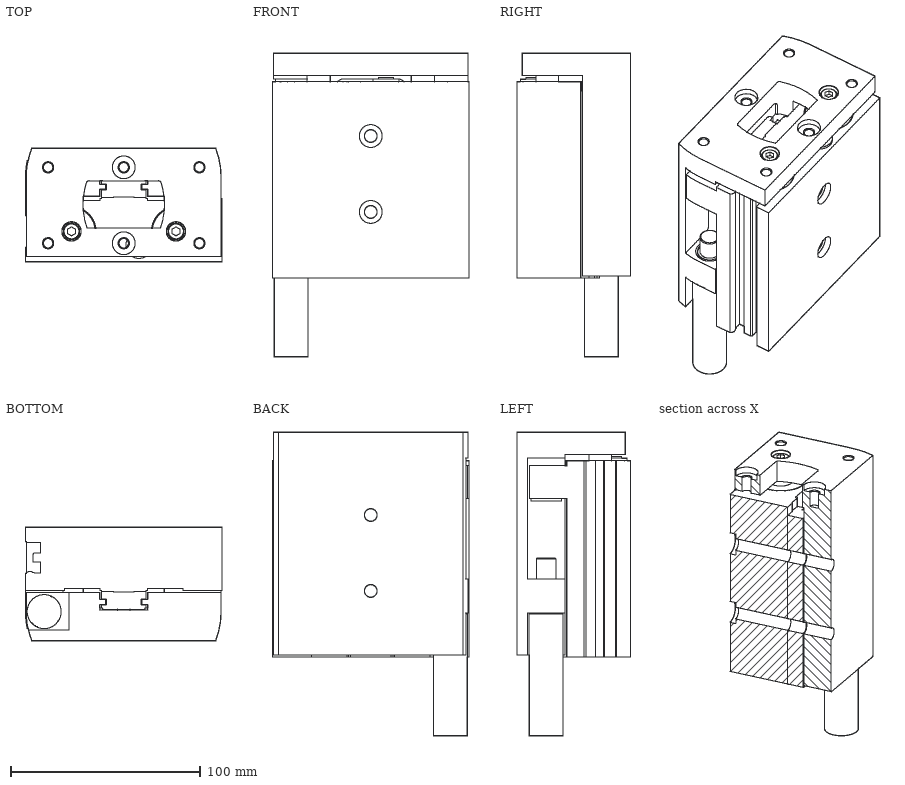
import cadquery as cq
import math


HOUSING_WIDTH = 104.0
HOUSING_BACK = 33.5
HOUSING_HEIGHT = 103.8

TABLE_WIDTH = 103.0
TABLE_TOP = 119.0
TABLE_BOTTOM = 1.1
TABLE_BACK = 60.0
TABLE_FRONT = 34.5
PLATE_FRONT = 2.7
PLATE_THICKNESS = 11.9
PLATE_BOTTOM = TABLE_TOP - PLATE_THICKNESS
BACK_WALL = 5.6
BACK_WALL_FACE = TABLE_BACK - BACK_WALL
SIDE_ARC_RADIUS = 43.3
SIDE_ARC_START = 44.5

POCKET_WALL = -28.9
POCKET_TOP = 105.1
POCKET_FILLET = 2.1
TAB_TOP = 41.4
TAB_BOTTOM = 23.3

WINDOW_BACK = 42.7
WINDOW_FRONT = 17.8
WINDOW_END_HALF = 19.5
WINDOW_MIDDLE_HALF = 21.5
WINDOW_CORNER = 1.3
WINDOW_BOTTOM = 94.7

RAIL_HALF = 11.9
RAIL_BACK = 43.5
RAIL_TOP = 99.0
RAIL_CHAMFER = 1.1
GROOVE_FRONT = 38.0
GROOVE_BACK = 41.1
GROOVE_HALF = 9.3
RAIL_GAP = 0.2
CHANNEL_HALF = 12.7
CHANNEL_FLOOR = 43.8
TOOTH_HALF = 9.6
RAIL_POCKET_HALF = 18.5
RAIL_POCKET_TOP = 105.3
RAIL_POCKET_FILLET = 4.2

PAD_HEIGHT = 0.3
KEY_HALF = 5.5
KEY_HEIGHT = 0.8
RELIEF_HALF = 31.3
RELIEF_DEPTH = 1.1

HOLE_DIA = 5.0
HOLE_MOUTH_DIA = 6.0
PIN_SEAT_DIA = 12.0
PIN_SEAT_DEPTH = 3.4
THROUGH_DIA = 6.6
CORNER_HOLE_DEPTH = 9.6
HOLE_PITCH = 40.1
PLATE_HOLE_X = 40.0
PLATE_HOLE_FRONT = 9.8
FRONT_HOLE_LOW = 35.0

ROD_X = 27.6
ROD_Y = 16.0
ROD_DIA = 12.0
ROD_BOTTOM = 16.0
ROD_NECK_DIA = 5.6
HEAD_DIA = 8.7
HEAD_TOP_DIA = 7.9
HEAD_SEAT_DIA = 10.0
HEAD_SEAT_MOUTH_DIA = 10.3
HEAD_BOTTOM = 113.8
HEAD_TOP = 117.6
SOCKET_CORNERS = 4.7
SOCKET_DEPTH = 2.4
ROD_RING_DIA = 25.0
ROD_RING_DEPTH = 0.6
ROD_RING_MOUTH_DIA = 26.0

ABSORBER_X = -42.0
ABSORBER_Y = 44.6
ABSORBER_DIA = 18.0
ABSORBER_BOTTOM = -41.5
ABSORBER_NECK_DIA = 12.8
ABSORBER_TIP_DIA = 10.3
ABSORBER_TIP_TOP = 52.5
ABSORBER_CHAMFER = 0.5
TAB_HOLE_CHAMFER = 1.0
BLOCK_INNER = -32.1
BLOCK_BACK = 53.5
BLOCK_TOP = 101.3
BLOCK_BOTTOM = 83.8
BUMPER_DIA = 16.2
BUMPER_BOTTOM = 82.5

BUTTON_X = 8.0
BUTTON_Y = 8.7
BUTTON_DIA = 13.8
BUTTON_HEIGHT = 1.3
BUTTON_TIP_DIA = 7.9
BUTTON_TIP_HEIGHT = 2.2

LAND_INSET = 4.0
SLOT_DEPTH = 8.0
LIP_START = 24.7
LIP_PEAK_INSET = 2.1
LIP_PEAK = 23.5
LIP_END = 23.9
LIP_BEVEL = 1.5
REAR_SLOT_BACK = 24.2
REAR_SLOT_FRONT = 18.5
FRONT_SLOT_BACK = 13.6
FRONT_SLOT_FRONT = 8.0
SLOT_CHAMFER = 0.6


def box(x0, x1, y0, y1, z0, z1):
    return cq.Workplane("XY").box(x1 - x0, y1 - y0, z1 - z0, centered=False).translate((x0, y0, z0))


def rod(x, y, diameter, z0, z1):
    return cq.Workplane("XY", origin=(x, y, z0)).circle(diameter / 2).extrude(z1 - z0)


def cone(x, y, bottom_diameter, top_diameter, z0, z1):
    profile = [(0, z0), (bottom_diameter / 2, z0), (top_diameter / 2, z1), (0, z1)]
    return cq.Workplane("XZ").polyline(profile).close().revolve(360, (0, 0), (0, 1)).translate((x, y, 0))


def cross_bore(z, diameter, y0, y1):
    return cq.Workplane("XZ", origin=(0, y0, z)).circle(diameter / 2).extrude(y0 - y1)


def arc_inset(rise):
    """How far the curved side has moved inward at a height `rise` above its tangent point."""
    return SIDE_ARC_RADIUS - math.sqrt(SIDE_ARC_RADIUS**2 - rise**2)


def front_hole_heights():
    return [FRONT_HOLE_LOW, FRONT_HOLE_LOW + HOLE_PITCH]


def sensor_slots():
    side = -HOUSING_WIDTH / 2
    land = side + LAND_INSET
    floor = side + SLOT_DEPTH
    outline = (
        cq.Workplane("XY")
        .moveTo(side, LIP_START)
        .threePointArc((side + LIP_PEAK_INSET, LIP_PEAK), (land, LIP_END))
        .lineTo(land + LIP_BEVEL, REAR_SLOT_BACK)
        .lineTo(floor, REAR_SLOT_BACK)
        .lineTo(floor, REAR_SLOT_FRONT)
        .lineTo(land, REAR_SLOT_FRONT)
        .lineTo(land, FRONT_SLOT_BACK + SLOT_CHAMFER)
        .lineTo(land + SLOT_CHAMFER, FRONT_SLOT_BACK)
        .lineTo(floor, FRONT_SLOT_BACK)
        .lineTo(floor, FRONT_SLOT_FRONT)
        .lineTo(side + SLOT_CHAMFER, FRONT_SLOT_FRONT)
        .lineTo(side, FRONT_SLOT_FRONT - SLOT_CHAMFER)
        .close()
    )
    return outline.extrude(HOUSING_HEIGHT)


def rail_seat():
    pad_back = HOUSING_BACK + PAD_HEIGHT
    pad = box(-RAIL_HALF, RAIL_HALF, HOUSING_BACK, pad_back, 0, HOUSING_HEIGHT)
    key_back = HOUSING_BACK + KEY_HEIGHT
    return pad.union(box(-KEY_HALF, KEY_HALF, HOUSING_BACK, key_back, 0, HOUSING_HEIGHT))


def stop_block():
    side = -HOUSING_WIDTH / 2
    back_x = side + arc_inset(BLOCK_BACK - SIDE_ARC_START)
    outline = (
        cq.Workplane("XY", origin=(0, 0, BLOCK_BOTTOM))
        .moveTo(BLOCK_INNER, HOUSING_BACK)
        .lineTo(side, HOUSING_BACK)
        .lineTo(side, SIDE_ARC_START)
        .radiusArc((back_x, BLOCK_BACK), SIDE_ARC_RADIUS)
        .lineTo(BLOCK_INNER, BLOCK_BACK)
        .close()
    )
    bumper = rod(ABSORBER_X, ABSORBER_Y, BUMPER_DIA, BUMPER_BOTTOM, BLOCK_BOTTOM)
    return outline.extrude(BLOCK_TOP - BLOCK_BOTTOM).union(bumper)


def button():
    shoulder = HOUSING_HEIGHT + BUTTON_HEIGHT
    tip = HOUSING_HEIGHT + BUTTON_TIP_HEIGHT
    base = rod(BUTTON_X, BUTTON_Y, BUTTON_DIA, HOUSING_HEIGHT, shoulder)
    return base.union(rod(BUTTON_X, BUTTON_Y, BUTTON_TIP_DIA, HOUSING_HEIGHT, tip))


def make_housing():
    half = HOUSING_WIDTH / 2
    body = box(-half, half, 0, HOUSING_BACK, 0, HOUSING_HEIGHT)
    body = body.cut(sensor_slots())
    for x0, x1 in [(-RELIEF_HALF, -CHANNEL_HALF), (CHANNEL_HALF, RELIEF_HALF)]:
        body = body.cut(box(x0, x1, HOUSING_BACK - RELIEF_DEPTH, HOUSING_BACK, 0, HOUSING_HEIGHT))
    for x in (-ROD_X, ROD_X):
        body = body.cut(rod(x, ROD_Y, ROD_DIA, ROD_BOTTOM, HOUSING_HEIGHT))
        ring_bottom = HOUSING_HEIGHT - ROD_RING_DEPTH
        body = body.cut(cone(x, ROD_Y, ROD_RING_DIA, ROD_RING_MOUTH_DIA, ring_bottom, HOUSING_HEIGHT))
    body = body.union(rail_seat())
    for z in front_hole_heights():
        body = body.cut(cross_bore(z, THROUGH_DIA, 0, HOUSING_BACK + KEY_HEIGHT))
        body = body.cut(cross_bore(z, PIN_SEAT_DIA, 0, PIN_SEAT_DEPTH))
    return body.union(stop_block()).union(button())


def table_block():
    half = TABLE_WIDTH / 2
    back_half = half - arc_inset(TABLE_BACK - SIDE_ARC_START)
    outline = (
        cq.Workplane("XY", origin=(0, 0, TABLE_BOTTOM))
        .moveTo(half, PLATE_FRONT)
        .lineTo(-half, PLATE_FRONT)
        .lineTo(-half, SIDE_ARC_START)
        .radiusArc((-back_half, TABLE_BACK), SIDE_ARC_RADIUS)
        .lineTo(back_half, TABLE_BACK)
        .radiusArc((half, SIDE_ARC_START), SIDE_ARC_RADIUS)
        .close()
    )
    block = outline.extrude(TABLE_TOP - TABLE_BOTTOM)
    return block.cut(box(-half, half, PLATE_FRONT, TABLE_FRONT, TABLE_BOTTOM, PLATE_BOTTOM))


def side_pockets():
    outer = -TABLE_WIDTH / 2
    upper = box(outer, POCKET_WALL, TABLE_FRONT, BACK_WALL_FACE, TAB_TOP, POCKET_TOP)
    upper = upper.edges("|Y and >X").fillet(POCKET_FILLET)
    lower = box(outer, POCKET_WALL, TABLE_FRONT, BACK_WALL_FACE, TABLE_BOTTOM, TAB_BOTTOM)
    lower = lower.edges("|Y and >X and >Z").fillet(POCKET_FILLET)
    return upper.union(lower)


def window():
    middle = (WINDOW_BACK + WINDOW_FRONT) / 2
    outline = (
        cq.Workplane("XY", origin=(0, 0, WINDOW_BOTTOM))
        .moveTo(-WINDOW_END_HALF, WINDOW_FRONT)
        .threePointArc((-WINDOW_MIDDLE_HALF, middle), (-WINDOW_END_HALF, WINDOW_BACK))
        .lineTo(WINDOW_END_HALF, WINDOW_BACK)
        .threePointArc((WINDOW_MIDDLE_HALF, middle), (WINDOW_END_HALF, WINDOW_FRONT))
        .close()
    )
    return outline.extrude(TABLE_TOP - WINDOW_BOTTOM).edges("|Z and >Y").fillet(WINDOW_CORNER)


def rail_channel():
    channel = box(-CHANNEL_HALF, CHANNEL_HALF, TABLE_FRONT, CHANNEL_FLOOR, TABLE_BOTTOM, WINDOW_BOTTOM)
    tooth_front = GROOVE_FRONT + RAIL_GAP
    tooth_back = GROOVE_BACK - RAIL_GAP
    for x0, x1 in [(-CHANNEL_HALF, -TOOTH_HALF), (TOOTH_HALF, CHANNEL_HALF)]:
        channel = channel.cut(box(x0, x1, tooth_front, tooth_back, TABLE_BOTTOM, WINDOW_BOTTOM))
    half = RAIL_POCKET_HALF
    arch = box(-half, half, WINDOW_BACK, CHANNEL_FLOOR, WINDOW_BOTTOM, RAIL_POCKET_TOP)
    return channel.union(arch.edges("|Y and >Z").fillet(RAIL_POCKET_FILLET))


def plate_hole(x, y):
    """Hole with a chamfered mouth; a middle hole also has a pin seat and reaches the plate bottom."""
    in_middle = x == 0
    mouth_top = TABLE_TOP - PIN_SEAT_DEPTH if in_middle else TABLE_TOP
    hole_bottom = PLATE_BOTTOM if in_middle else TABLE_TOP - CORNER_HOLE_DEPTH
    chamfer = (HOLE_MOUTH_DIA - HOLE_DIA) / 2
    hole = rod(x, y, HOLE_DIA, hole_bottom, mouth_top)
    hole = hole.union(cone(x, y, HOLE_DIA, HOLE_MOUTH_DIA, mouth_top - chamfer, mouth_top))
    if in_middle:
        hole = hole.union(rod(x, y, PIN_SEAT_DIA, mouth_top, TABLE_TOP))
    return hole


def absorber_hole():
    hole = rod(ABSORBER_X, ABSORBER_Y, ABSORBER_NECK_DIA, TAB_BOTTOM, TAB_TOP)
    mouth_dia = ABSORBER_NECK_DIA + 2 * TAB_HOLE_CHAMFER
    mouth_bottom = TAB_TOP - TAB_HOLE_CHAMFER
    return hole.union(cone(ABSORBER_X, ABSORBER_Y, ABSORBER_NECK_DIA, mouth_dia, mouth_bottom, TAB_TOP))


def make_table():
    table = table_block().cut(side_pockets()).cut(window()).cut(rail_channel()).cut(absorber_hole())
    for x in (-PLATE_HOLE_X, 0, PLATE_HOLE_X):
        for y in (PLATE_HOLE_FRONT, PLATE_HOLE_FRONT + HOLE_PITCH):
            table = table.cut(plate_hole(x, y))
    for x in (-ROD_X, ROD_X):
        table = table.cut(rod(x, ROD_Y, ROD_NECK_DIA, PLATE_BOTTOM, HEAD_BOTTOM))
        table = table.cut(rod(x, ROD_Y, HEAD_SEAT_DIA, HEAD_BOTTOM, TABLE_TOP))
        mouth_bottom = TABLE_TOP - (HEAD_SEAT_MOUTH_DIA - HEAD_SEAT_DIA) / 2
        table = table.cut(cone(x, ROD_Y, HEAD_SEAT_DIA, HEAD_SEAT_MOUTH_DIA, mouth_bottom, TABLE_TOP))
    for z in front_hole_heights():
        table = table.cut(cross_bore(z, THROUGH_DIA, TABLE_FRONT, TABLE_BACK))
    return table


def make_rail():
    rail = box(-RAIL_HALF, RAIL_HALF, HOUSING_BACK, RAIL_BACK, 0, RAIL_TOP)
    rail = rail.edges("|Z and >Y").chamfer(RAIL_CHAMFER).cut(rail_seat())
    for x0, x1 in [(-RAIL_HALF, -GROOVE_HALF), (GROOVE_HALF, RAIL_HALF)]:
        rail = rail.cut(box(x0, x1, GROOVE_FRONT, GROOVE_BACK, 0, RAIL_TOP))
    for z in front_hole_heights():
        rail = rail.cut(cross_bore(z, THROUGH_DIA, HOUSING_BACK, RAIL_BACK))
    return rail


def make_piston_rod(x):
    shaft = rod(x, ROD_Y, ROD_DIA, ROD_BOTTOM, PLATE_BOTTOM)
    neck = rod(x, ROD_Y, ROD_NECK_DIA, PLATE_BOTTOM, HEAD_BOTTOM)
    head = rod(x, ROD_Y, HEAD_DIA, HEAD_BOTTOM, HEAD_TOP)
    head = head.faces(">Z").edges().chamfer((HEAD_DIA - HEAD_TOP_DIA) / 2)
    socket = (
        cq.Workplane("XY", origin=(x, ROD_Y, HEAD_TOP - SOCKET_DEPTH))
        .transformed(rotate=(0, 0, 30))
        .polygon(6, SOCKET_CORNERS)
        .extrude(SOCKET_DEPTH)
    )
    return shaft.union(neck).union(head).cut(socket)


def make_absorber():
    body = rod(ABSORBER_X, ABSORBER_Y, ABSORBER_DIA, ABSORBER_BOTTOM, TAB_BOTTOM)
    body = body.faces(">Z").edges().chamfer(ABSORBER_CHAMFER)
    neck = rod(ABSORBER_X, ABSORBER_Y, ABSORBER_NECK_DIA, TAB_BOTTOM, TAB_TOP)
    tip = rod(ABSORBER_X, ABSORBER_Y, ABSORBER_TIP_DIA, TAB_TOP, ABSORBER_TIP_TOP)
    tip = tip.faces(">Z").edges().chamfer(ABSORBER_CHAMFER)
    return body.union(neck).union(tip)


housing = make_housing()
table = make_table()
rail = make_rail()
absorber = make_absorber()
piston_rods = [make_piston_rod(x) for x in (-ROD_X, ROD_X)]

result = cq.Compound.makeCompound(
    [
        housing.val(),
        table.val(),
        rail.val(),
        absorber.val(),
        *[piston_rod.val() for piston_rod in piston_rods],
    ]
)